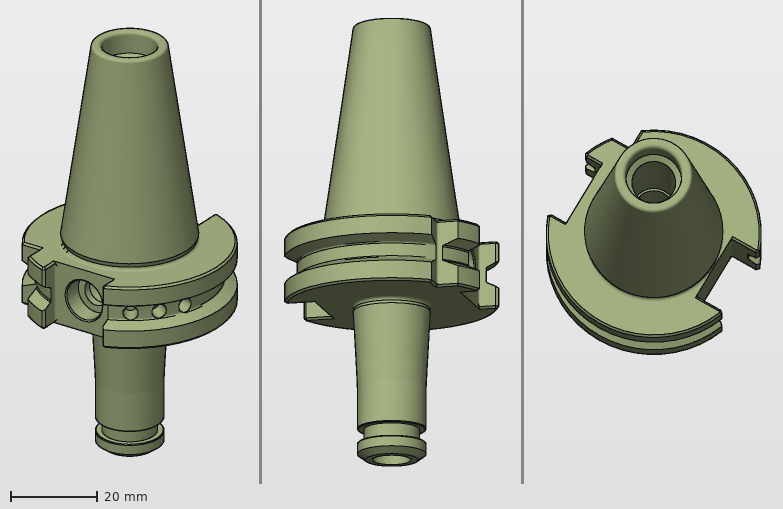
import cadquery as cq
import math

overall_length = 103.65
taper_top_z = 47.65
nose_bottom_z = taper_top_z - overall_length
flange_top_z = -3.2
flange_thickness = 15.9
flange_bottom_z = flange_top_z - flange_thickness
groove_depth_below_top = 7.9
groove_z = flange_top_z - groove_depth_below_top

gauge_radius = 31.75 / 2
taper_slope = 7 / 48
taper_bottom_z = -1.3
taper_top_fillet = 0.75
relief_radius = 15.75
relief_fillet = 0.85

flange_radius = 25.0
flange_chamfer = 0.5
groove_floor_radius = 22.1
groove_floor_width = 3.5
groove_mouth_width = 6.55
groove_fillet = 0.4
cut_clearance = 1.0

nose_neck_radius = 8.8
nose_neck_fillet = 0.8
nose_cone_top_radius = 9.0
nose_neck_length = 1.5
nose_cone_top_z = flange_bottom_z - nose_neck_length
nose_radius = 8.0
nose_cone_bottom_z = -38.95
collar_groove_radius = 6.5
collar_groove_top_z = -48.75
collar_groove_bottom_z = -52.05
collar_edge_chamfer = 0.2
tip_radius = 6.1
tip_chamfer_height = 1.4

counterbore_radius = 13 / 2
counterbore_depth = 5.5
bore_mouth_fillet = 0.9
thread_bore_radius = 10.11 / 2
thread_entry_depth = 6.5
thread_bore_depth = 30.0
through_bore_radius = 9 / 2

slot_width = 16.1
front_slot_floor = 18.8
back_slot_floor = 16.2
corner_fillet = 0.5
slot_mouth_chamfer = 0.63
notch_offset = 15.0

drive_hole_radius = 10 / 2
drive_hole_depth = 5.0
drive_hole_chamfer = 0.3
pilot_radius = 6.4 / 2
pilot_depth = 7.0
point_half_angle = 59.0
balance_hole_radius = 3.5 / 2
balance_hole_depth = 5.0
balance_hole_angles = (35.0, 52.5, 70.0)


def revolve_profile(sketch):
    """Turn an X-Z half profile about the Z axis."""
    return sketch.close().revolve(360, (0, 0, 0), (0, 1, 0))


def taper_radius(z):
    return gauge_radius - taper_slope * z


def make_taper():
    taper_top_radius = taper_radius(taper_top_z)
    sketch = (
        cq.Workplane("XZ")
        .moveTo(0, taper_top_z)
        .lineTo(taper_top_radius, taper_top_z)
        .lineTo(taper_radius(taper_bottom_z), taper_bottom_z)
        .lineTo(relief_radius, flange_top_z + relief_fillet)
        .radiusArc((relief_radius + relief_fillet, flange_top_z), -relief_fillet)
        .lineTo(0, flange_top_z)
    )
    return revolve_profile(sketch).faces(">Z").edges().fillet(taper_top_fillet)


def make_nose():
    edge = collar_edge_chamfer
    sketch = (
        cq.Workplane("XZ")
        .moveTo(0, flange_bottom_z)
        .lineTo(nose_neck_radius + nose_neck_fillet, flange_bottom_z)
        .radiusArc((nose_neck_radius, flange_bottom_z - nose_neck_fillet), -nose_neck_fillet)
        .lineTo(nose_cone_top_radius, nose_cone_top_z)
        .lineTo(nose_radius, nose_cone_bottom_z)
        .lineTo(nose_radius, collar_groove_top_z + edge)
        .lineTo(nose_radius - edge, collar_groove_top_z)
        .lineTo(collar_groove_radius, collar_groove_top_z)
        .lineTo(collar_groove_radius, collar_groove_bottom_z)
        .lineTo(nose_radius - edge, collar_groove_bottom_z)
        .lineTo(nose_radius, collar_groove_bottom_z - edge)
        .lineTo(nose_radius, nose_bottom_z + tip_chamfer_height)
        .lineTo(tip_radius, nose_bottom_z)
        .lineTo(0, nose_bottom_z)
    )
    return revolve_profile(sketch)


def make_slot(floor, side):
    """Drive slot on the given Y side, with a flared mouth, tall enough to trim the relief fillet."""
    half_width = slot_width / 2
    mouth_half_width = half_width + slot_mouth_chamfer
    mouth_y = math.sqrt(flange_radius**2 - mouth_half_width**2)
    right_side = [
        (half_width, floor),
        (half_width, mouth_y - slot_mouth_chamfer),
        (mouth_half_width, mouth_y),
        (mouth_half_width, flange_radius),
    ]
    left_side = [(-x, y) for x, y in reversed(right_side)]
    outline = [(x, side * y) for x, y in right_side + left_side]
    return (
        cq.Workplane("XY", origin=(0, 0, flange_bottom_z))
        .polyline(outline)
        .close()
        .extrude(flange_thickness + relief_fillet)
    )


def make_notch():
    """Square notch through the rim at the -X -Y corner."""
    side = flange_radius - notch_offset
    return (
        cq.Workplane("XY", origin=(-flange_radius, -flange_radius, flange_bottom_z))
        .rect(side, side, centered=False)
        .extrude(flange_thickness)
    )


def is_chamfered(edge):
    """True for every rim edge except those along a slot floor."""
    center = edge.Center()
    on_floor = min(abs(center.y + front_slot_floor), abs(center.y - back_slot_floor)) < flange_chamfer / 2
    return not (on_floor and abs(center.x) < slot_width / 4)


def is_inner_corner(edge):
    """True for the vertical edges inside the slots and the notch."""
    center = edge.Center()
    corners = [(-notch_offset, -notch_offset)]
    for side in (-1, 1):
        corners.append((side * slot_width / 2, -front_slot_floor))
        corners.append((side * slot_width / 2, back_slot_floor))
    return any(math.dist((center.x, center.y), corner) < corner_fillet / 2 for corner in corners)


def make_groove():
    """Ring that cuts the V groove, with rounded floor corners."""
    floor_half = groove_floor_width / 2
    mouth_half = groove_mouth_width / 2
    ring_radius = flange_radius + cut_clearance
    sketch = (
        cq.Workplane("XZ")
        .moveTo(groove_floor_radius, groove_z - floor_half)
        .lineTo(flange_radius, groove_z - mouth_half)
        .lineTo(ring_radius, groove_z - mouth_half)
        .lineTo(ring_radius, groove_z + mouth_half)
        .lineTo(flange_radius, groove_z + mouth_half)
        .lineTo(groove_floor_radius, groove_z + floor_half)
    )
    ring = revolve_profile(sketch)
    floor_edges = cq.selectors.RadiusNthSelector(0)
    return ring.edges("%CIRCLE").edges(floor_edges).fillet(groove_fillet)


def make_flange():
    flange = (
        cq.Workplane("XY", origin=(0, 0, flange_bottom_z))
        .circle(flange_radius)
        .extrude(flange_thickness)
        .cut(make_slot(front_slot_floor, -1))
        .cut(make_slot(back_slot_floor, 1))
        .cut(make_notch())
    )
    flange = flange.faces("|Z").edges().filter(is_chamfered).chamfer(flange_chamfer)
    flange = flange.edges("|Z").filter(is_inner_corner).fillet(corner_fillet)
    return flange.cut(make_groove())


def make_bore():
    thread_entry_z = taper_top_z - thread_entry_depth
    thread_bottom_z = taper_top_z - thread_bore_depth
    sketch = (
        cq.Workplane("XZ")
        .moveTo(0, taper_top_z)
        .lineTo(counterbore_radius + bore_mouth_fillet, taper_top_z)
        .radiusArc((counterbore_radius, taper_top_z - bore_mouth_fillet), -bore_mouth_fillet)
        .lineTo(counterbore_radius, taper_top_z - counterbore_depth)
        .lineTo(thread_bore_radius, thread_entry_z)
        .lineTo(thread_bore_radius, thread_bottom_z)
        .lineTo(through_bore_radius, thread_bottom_z)
        .lineTo(through_bore_radius, nose_bottom_z)
        .lineTo(0, nose_bottom_z)
    )
    return revolve_profile(sketch)


def make_drive_hole():
    """Stepped blind hole in the -Y slot floor, turned about its own Y-direction axis."""
    shoulder_y = drive_hole_depth - front_slot_floor
    point_y = pilot_depth - front_slot_floor
    point_length = pilot_radius / math.tan(math.radians(point_half_angle))
    return (
        cq.Workplane("XY", origin=(0, 0, groove_z))
        .moveTo(0, -front_slot_floor)
        .lineTo(drive_hole_radius + drive_hole_chamfer, -front_slot_floor)
        .lineTo(drive_hole_radius, drive_hole_chamfer - front_slot_floor)
        .lineTo(drive_hole_radius, shoulder_y)
        .lineTo(pilot_radius, shoulder_y)
        .lineTo(pilot_radius, point_y)
        .lineTo(0, point_y + point_length)
        .close()
        .revolve(360, (0, 0, 0), (0, 1, 0))
    )


def make_balance_hole(angle):
    """Radial blind hole in the groove floor, at an angle from -Y towards +X."""
    outward = cq.Vector(math.sin(math.radians(angle)), -math.cos(math.radians(angle)), 0)
    floor_radius = groove_floor_radius - balance_hole_depth
    start = outward * floor_radius + cq.Vector(0, 0, groove_z)
    length = flange_radius - floor_radius
    return cq.Workplane(cq.Solid.makeCylinder(balance_hole_radius, length, start, outward))


trimmed_taper = make_taper().cut(make_slot(back_slot_floor, 1))
result = make_flange().union(trimmed_taper).union(make_nose())
result = result.cut(make_bore()).cut(make_drive_hole())
for hole_angle in balance_hole_angles:
    result = result.cut(make_balance_hole(hole_angle))